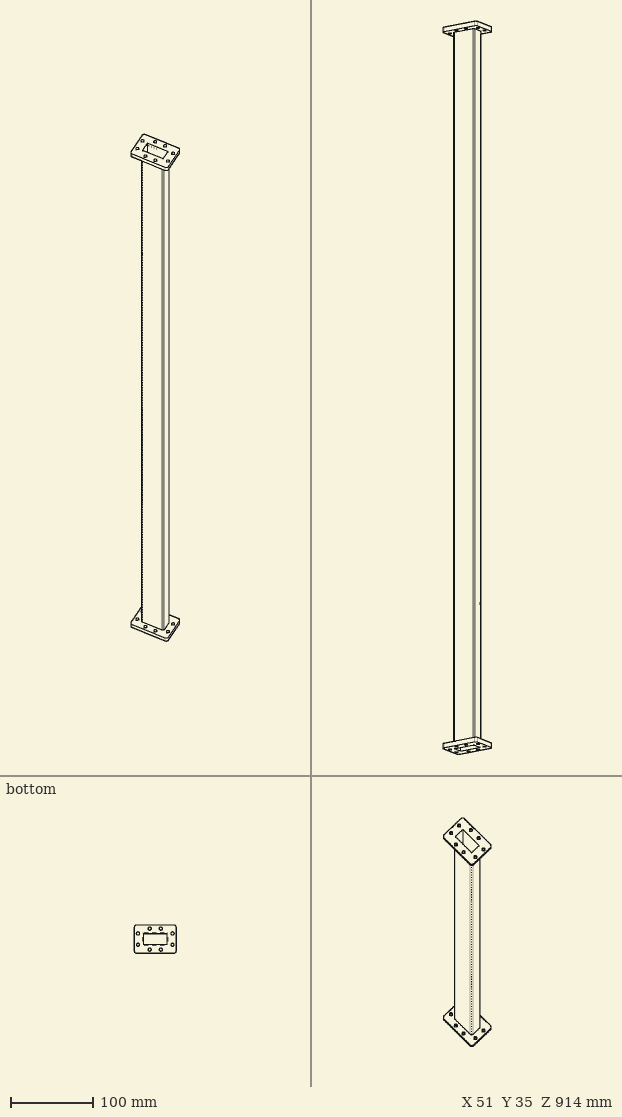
import cadquery as cq

length = 914.0

bore_x = 28.0
bore_y = 13.0
wall = 1.65
tube_x = bore_x + 2 * wall
tube_y = bore_y + 2 * wall
tube_corner_radius = 3.0

flange_x = 51.0
flange_y = 35.0
flange_thickness = 5.9
flange_corner_radius = 3.0

hole_diameter = 4.0
hole_pair_spacing = 14.0
hole_row_x = 21.0
hole_row_y = 13.0


def rounded_bar(size_x, size_y, height, radius, bottom_z):
    """Upright rectangular bar with rounded vertical edges."""
    bar = cq.Workplane("XY").workplane(offset=bottom_z).rect(size_x, size_y).extrude(height)
    return bar.edges("|Z").fillet(radius)


def bolt_hole_centres():
    """Centres of the eight bolt holes, two on each side of the bore."""
    half_spacing = hole_pair_spacing / 2
    centres = []
    for side in (-1, 1):
        for end in (-half_spacing, half_spacing):
            centres.append((end, side * hole_row_y))
            centres.append((side * hole_row_x, end))
    return centres


def flange(bottom_z):
    """Flange plate with its bolt holes."""
    plate = rounded_bar(flange_x, flange_y, flange_thickness, flange_corner_radius, bottom_z)
    holes = (
        cq.Workplane("XY")
        .workplane(offset=bottom_z)
        .pushPoints(bolt_hole_centres())
        .circle(hole_diameter / 2)
        .extrude(flange_thickness)
    )
    return plate.cut(holes)


bottom_face_z = -length / 2
top_flange_z = length / 2 - flange_thickness

tube = rounded_bar(tube_x, tube_y, length, tube_corner_radius, bottom_face_z)
body = tube.union(flange(bottom_face_z)).union(flange(top_flange_z))

bore = cq.Workplane("XY").workplane(offset=bottom_face_z).rect(bore_x, bore_y).extrude(length)

result = body.cut(bore)